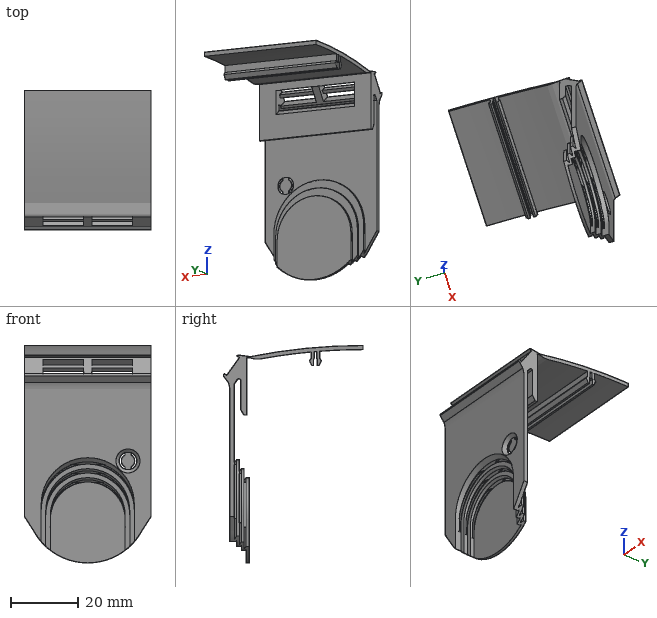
import cadquery as cq
import math

width = 37.6
depth = 41.5
height = 64.65
half_width = width / 2

roof_radius = 170.65
roof_thickness = 1.3
roof_front_y = 8.0
roof_underside_front_y = 10.8
roof_center_z = height - roof_radius

plate_front_y = 1.9
plate_thickness = 1.4
plate_back_y = plate_front_y + plate_thickness

lip_start = (4.9, 61.7)
lip_middle = (4.4, 61.7)
lip_end = (3.95, 61.55)
slope_top = (4.7, 61.0)
slope_bottom = (1.0, 55.8)
ridge_start = (0.25, 56.25)
ridge_middle = (0.03, 55.9)
ridge_end = (0, 55.5)
plate_blend_start = (1.4, 53.65)
plate_blend_middle = (1.75, 52.55)
plate_blend_end_z = 51.6

rib_front_y = 5.1
rib_back_y = 7.0
rib_top_z = 60.95
rib_front_top_z = 54.4
rib_bottom_z = 43.95
rib_chamfer_y = 1.0
rib_chamfer_z = 1.6
groove_peak = (4.45, 54.75)
plate_back_top_z = 53.25
web_rear_y = 7.8
web_knee = (9.3, 60.6)

clip_y = 27.35
clip_bottom_z = 58.6
clip_root_z = 63.35
prong_inner = 0.3
prong_relief = 0.5
prong_relief_start_z = 60.9
prong_relief_end_z = 60.5
prong_outer = 1.3
barb_top_z = 60.75
barb_tip = (1.8, 60.05)
barb_foot = 1.1

vent_length = 12.0
vent_column_pitch = 14.4
vent_height = 2.0
vent_row_pitch = 3.1
vent_cut_depth = 9.7
vent_bar_depth = 1.95
vent_divider_depth = 3.2
duct_floor_drop = 0.8

end_radius = 18.3
end_arc_top_z = 9.4
side_bottom_z = 13.8

recess_half_width = 13.85
recess_center_z = 17.45
recess_narrowing = 1.35
recess_slope = 0.92
step_count = 3
step_gap = 0.65
sheet_thickness = 0.8
last_sheet_thickness = 0.9
step_pitch = step_gap + sheet_thickness
sheet_margin = 1.3
neck_taper = 45.0
slit_bottom_drop = 2.25
slit_top_clearance = 0.1
slit_floor_rim = 0.1

button_x = 11.95
button_z = 30.3
button_outer_radius = 3.55
button_floor_radius = 2.6
button_floor_thickness = 0.25
button_disc_radius = 2.0
button_bridge_width = 1.95


def roof_point(y, radius):
    """Point (y, z) at the given y on an arc about the roof's center."""
    return (y, roof_center_z + math.sqrt(radius**2 - (depth - y) ** 2))


def full_width(outline):
    """Extrude a closed outline in the YZ plane over the whole width."""
    return outline.extrude(half_width, both=True)


def make_shell():
    """Roof, vent band, rib and front plate as one constant section."""
    under_radius = roof_radius - roof_thickness
    middle_y = (depth + roof_front_y) / 2
    outline = (
        cq.Workplane("YZ")
        .moveTo(depth, height)
        .threePointArc(roof_point(middle_y, roof_radius), roof_point(roof_front_y, roof_radius))
        .lineTo(*lip_start)
        .threePointArc(lip_middle, lip_end)
        .lineTo(*slope_top)
        .lineTo(*slope_bottom)
        .lineTo(*ridge_start)
        .threePointArc(ridge_middle, ridge_end)
        .lineTo(*plate_blend_start)
        .threePointArc(plate_blend_middle, (plate_front_y, plate_blend_end_z))
        .lineTo(plate_front_y, 0)
        .lineTo(plate_back_y, 0)
        .lineTo(plate_back_y, plate_back_top_z)
        .lineTo(*groove_peak)
        .lineTo(rib_front_y, rib_front_top_z)
        .lineTo(rib_front_y, rib_bottom_z + rib_chamfer_z)
        .lineTo(rib_front_y + rib_chamfer_y, rib_bottom_z)
        .lineTo(rib_back_y, rib_bottom_z)
        .lineTo(rib_back_y, rib_top_z)
        .lineTo(web_rear_y, rib_top_z)
        .lineTo(*web_knee)
        .lineTo(*roof_point(roof_underside_front_y, under_radius))
        .threePointArc(roof_point(middle_y, under_radius), (depth, height - roof_thickness))
        .close()
    )
    return full_width(outline)


def make_clip_prong(side):
    """One barbed prong; side is -1 for the front prong and 1 for the rear one."""
    section = [
        (prong_inner, clip_root_z),
        (prong_inner, prong_relief_start_z),
        (prong_relief, prong_relief_end_z),
        (prong_relief, clip_bottom_z),
        (barb_foot, clip_bottom_z),
        barb_tip,
        (prong_outer, barb_top_z),
        (prong_outer, clip_root_z),
    ]
    points = [(clip_y + side * offset, z) for offset, z in section]
    return full_width(cq.Workplane("YZ").polyline(points).close())


def make_vents():
    """Slots in two rows and two columns, square to the vent band, opening into one duct behind."""
    drop_y = slope_top[0] - slope_bottom[0]
    drop_z = slope_top[1] - slope_bottom[1]
    middle = ((slope_top[0] + slope_bottom[0]) / 2, (slope_top[1] + slope_bottom[1]) / 2)
    band = cq.Plane(origin=(0, *middle), xDir=(1, 0, 0), normal=(0, -drop_z, drop_y))
    rows_height = vent_row_pitch + vent_height
    slots = (
        cq.Workplane(band)
        .rarray(vent_column_pitch, vent_row_pitch, 2, 2)
        .rect(vent_length, vent_height)
        .extrude(-vent_bar_depth)
    )
    columns = (
        cq.Workplane(band)
        .workplane(offset=-vent_bar_depth)
        .rarray(vent_column_pitch, 0.65, 2, 1)
        .rect(vent_length, rows_height)
        .extrude(vent_bar_depth - vent_divider_depth)
    )
    duct = (
        cq.Workplane(band)
        .workplane(offset=-vent_divider_depth)
        .center(0, -duct_floor_drop / 2)
        .rect(vent_column_pitch + vent_length, rows_height + duct_floor_drop)
        .extrude(vent_divider_depth - vent_cut_depth)
    )
    return slots.union(columns).union(duct)


def arch(y, radius, center_z):
    """Outline at the given y: a half circle on top of two straight legs reaching below the part."""
    leg_end_z = -height
    return (
        cq.Workplane("XZ", origin=(0, y, 0))
        .moveTo(-radius, leg_end_z)
        .lineTo(-radius, center_z)
        .threePointArc((0, center_z + radius), (radius, center_z))
        .lineTo(radius, leg_end_z)
        .close()
    )


def recess_center(y):
    """Height of the recess arch center; the recess walls lean down toward the rear."""
    return recess_center_z - recess_slope * (y - plate_front_y)


def make_recess(step, start_y, floor_y):
    """Leaning arched pocket from the face in front down to the sheet of this step."""
    radius = recess_half_width - step * recess_narrowing
    wire = arch(start_y, radius, recess_center(start_y)).wires().val()
    travel = cq.Vector(0, floor_y - start_y, recess_center(floor_y) - recess_center(start_y))
    return cq.Workplane(cq.Solid.extrudeLinear(wire, [], travel))


def add_step(body, step):
    """Add one sheet and its neck behind the body, then open the recess and the side slits."""
    floor_y = plate_back_y + step_gap + step * step_pitch
    gap_start_y = floor_y - step_gap
    start_y = plate_front_y if step == 0 else floor_y - step_pitch
    thickness = last_sheet_thickness if step == step_count - 1 else sheet_thickness
    inner_radius = recess_half_width - step * recess_narrowing
    outer_radius = inner_radius + sheet_margin
    center_z = recess_center(floor_y)

    sheet = arch(floor_y, outer_radius, center_z).extrude(-thickness)
    neck = arch(floor_y, outer_radius, center_z).extrude(step_gap, taper=neck_taper)
    slit_bottom_z = center_z - slit_bottom_drop
    slit_top_z = center_z + inner_radius - slit_top_clearance
    slit = cq.Workplane("XY").box(
        width, step_gap - slit_floor_rim, slit_top_z - slit_bottom_z, centered=(True, False, False)
    ).translate((0, gap_start_y, slit_bottom_z))
    step_body = sheet.union(neck.cut(slit))
    return body.union(step_body).cut(make_recess(step, start_y, floor_y))


def make_end_envelope():
    """Everything inside the outline of the plate with its rounded lower end."""
    arc_end_x = math.sqrt(end_radius**2 - (end_radius - end_arc_top_z) ** 2)
    return (
        cq.Workplane("XZ")
        .moveTo(-half_width, height)
        .lineTo(-half_width, side_bottom_z)
        .lineTo(-arc_end_x, end_arc_top_z)
        .threePointArc((0, 0), (arc_end_x, end_arc_top_z))
        .lineTo(half_width, side_bottom_z)
        .lineTo(half_width, height)
        .close()
        .extrude(-depth)
    )


def cut_button(body):
    """Tapered pocket whose floor is a disc held by two bridges between arc slots."""
    pocket_depth = plate_thickness - button_floor_thickness
    face = cq.Workplane("XZ", origin=(button_x, plate_front_y, button_z))
    taper = math.degrees(math.atan((button_outer_radius - button_floor_radius) / pocket_depth))
    pocket = face.circle(button_outer_radius).extrude(-pocket_depth, taper=taper)
    ring = face.circle(button_floor_radius).circle(button_disc_radius).extrude(-plate_thickness)
    bridges = face.rect(button_bridge_width, 2 * button_outer_radius).extrude(-plate_thickness)
    return body.cut(pocket).cut(ring.cut(bridges))


body = make_shell()
for prong_side in (-1, 1):
    body = body.union(make_clip_prong(prong_side))
body = body.cut(make_vents())
for step_index in range(step_count):
    body = add_step(body, step_index)
body = body.intersect(make_end_envelope())
result = cut_button(body)